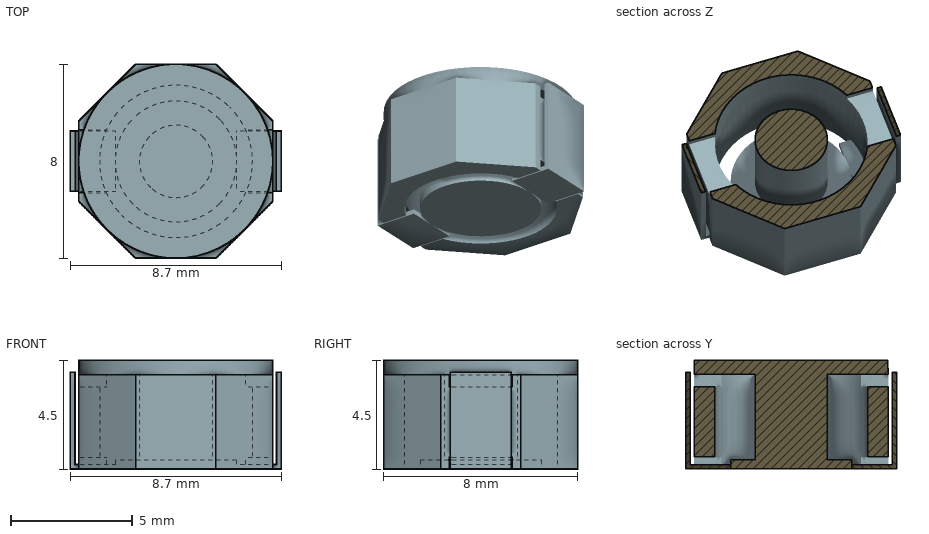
import cadquery as cq
import math

overall_length = 8.7
overall_height = 4.5
body_width = 8.0
octagon_sides = 8

top_disc_height = 0.6
hub_diameter = 3.0
flange_diameter = 5.0
flange_height = 0.4
bore_diameter = 6.3
notch_width = 2.6
notch_height = 0.5

terminal_width = 2.5
terminal_height = 4.0
terminal_thickness = 0.2

shield_height = overall_height - top_disc_height
half_sector = 180 / octagon_sides
octagon_corner_diameter = body_width / math.cos(math.radians(half_sector))
flange_radius = flange_diameter / 2


def make_cylinder(diameter, bottom, top):
    """Vertical cylinder on the part axis between two heights."""
    return cq.Workplane("XY").workplane(offset=bottom).circle(diameter / 2).extrude(top - bottom)


def make_shield():
    """Octagonal ring, notched at its top and bottom on the -X and +X sides."""
    shield = (
        cq.Workplane("XY")
        .transformed(rotate=(0, 0, half_sector))
        .polygon(octagon_sides, octagon_corner_diameter)
        .circle(bore_diameter / 2)
        .extrude(shield_height)
    )
    for notch_bottom in (0, shield_height - notch_height):
        notch = (
            cq.Workplane("XY")
            .workplane(offset=notch_bottom)
            .rect(overall_length, notch_width)
            .extrude(notch_height)
        )
        shield = shield.cut(notch)
    return shield


def make_core():
    """Drum core whose top disc closes the bore and carries the shield."""
    top_disc = make_cylinder(body_width, shield_height, overall_height)
    hub = make_cylinder(hub_diameter, 0, shield_height)
    flange = make_cylinder(flange_diameter, 0, flange_height)
    return make_shield().union(top_disc).union(hub).union(flange)


def make_terminal(side):
    """L-shaped strip from the bottom flange out through a notch and up; side is -1 or +1."""
    outer = overall_length / 2
    inner_face = outer - terminal_thickness
    profile = [
        (side * flange_radius, 0),
        (side * outer, 0),
        (side * outer, terminal_height),
        (side * inner_face, terminal_height),
        (side * inner_face, terminal_thickness),
        (side * flange_radius, terminal_thickness),
    ]
    return cq.Workplane("XZ").polyline(profile).close().extrude(terminal_width / 2, both=True)


core = make_core().solids()
terminals = [make_terminal(side) for side in (-1, 1)]

result = cq.Compound.makeCompound([core.val(), *[terminal.val() for terminal in terminals]])